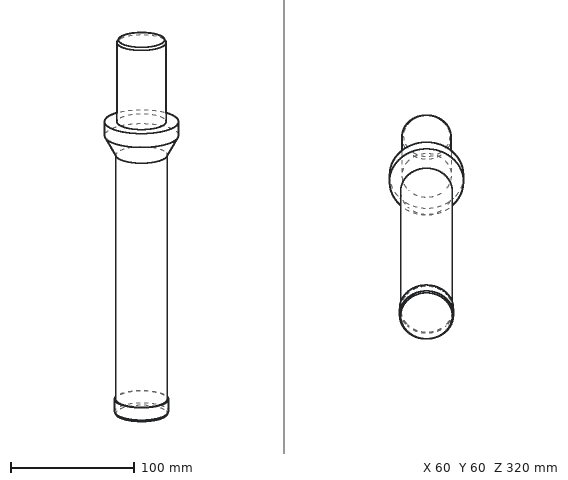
import cadquery as cq

total_height = 320.0
foot_height = 12.0
stem_top = 221.5
collar_height = 12.0
collar_top = 250.0
collar_bottom = collar_top - collar_height

pin_diameter = 40.0
collar_diameter = 60.0
stem_diameter = 42.0
foot_diameter = 44.0

pin_chamfer_height = 2.2
pin_chamfer_inset = 1.3
foot_chamfer_height = 1.5
foot_chamfer_inset = 1.0


def revolve_profile(half_profile):
    """Turn (radius, height) points into a solid of revolution about Z."""
    return cq.Workplane("XZ").polyline(half_profile).close().revolve(360, (0, 0), (0, 1))


def make_pin():
    """Plain round pin standing on the collar, with a steep chamfer at its top edge."""
    pin_radius = pin_diameter / 2
    half_profile = [
        (0, collar_top),
        (pin_radius, collar_top),
        (pin_radius, total_height - pin_chamfer_height),
        (pin_radius - pin_chamfer_inset, total_height),
        (0, total_height),
    ]
    return revolve_profile(half_profile)


def make_post():
    """Turned post: foot, long stem, conical flare and collar."""
    foot_radius = foot_diameter / 2
    stem_radius = stem_diameter / 2
    collar_radius = collar_diameter / 2
    half_profile = [
        (0, 0),
        (foot_radius - foot_chamfer_inset, 0),
        (foot_radius, foot_chamfer_height),
        (foot_radius, foot_height),
        (stem_radius, foot_height),
        (stem_radius, stem_top),
        (collar_radius, collar_bottom),
        (collar_radius, collar_top),
        (0, collar_top),
    ]
    return revolve_profile(half_profile)


pin = make_pin()
post = make_post()

result = cq.Compound.makeCompound([pin.val(), post.val()])